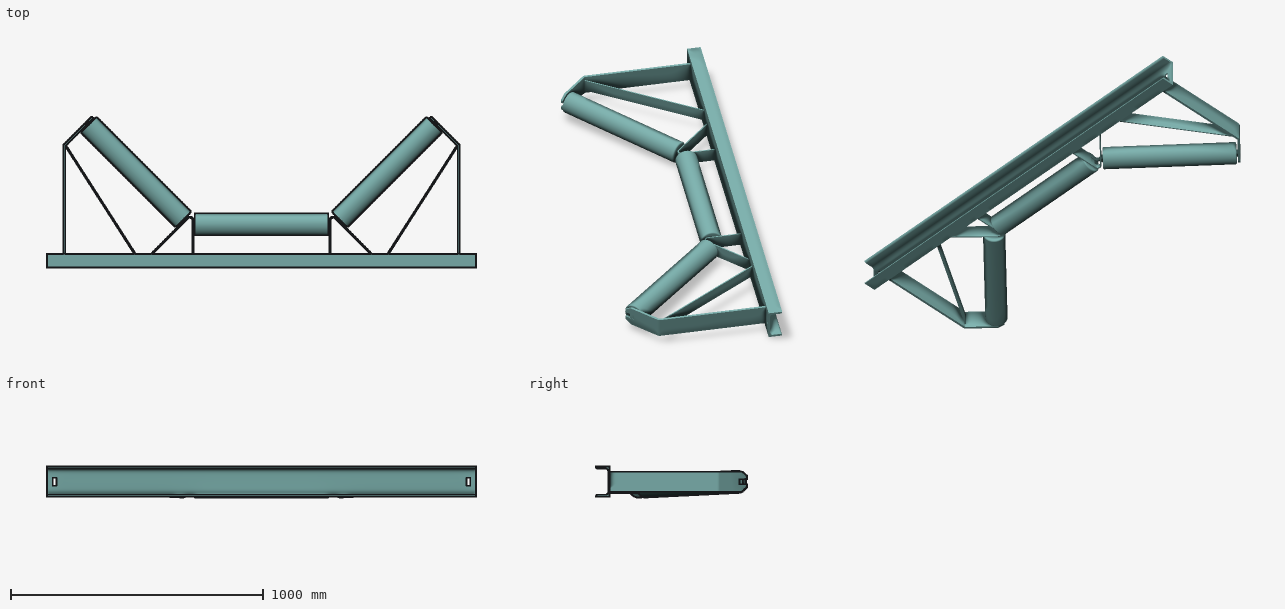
import cadquery as cq
import math

BEAM_LENGTH = 1700.0
BEAM_HEIGHT = 120.0
BEAM_DEPTH = 55.0
WEB_THICKNESS = 6.0
FLANGE_THICKNESS = 9.0
ROOT_RADIUS = 10.0
TIP_RADIUS = 7.6
MOUNT_SLOT_WIDTH = 14.0
MOUNT_SLOT_HEIGHT = 30.0
MOUNT_SLOT_FROM_END = 30.0

TROUGH_ANGLE = 45.0
ROLLER_DIAMETER = 88.0
ROLLER_LENGTH = 530.0
ROLLER_END_RADIUS = 5.0
SHAFT_SIZE = 20.0
SHAFT_RECESS = 2.0
CENTRE_AXIS_Y = 117.0
HANG_BELOW_BEAM = 3.0
SIDE_AXIS_ABOVE_BEND = 122.0

OUTER_BAR_HEIGHT = 80.0
OUTER_BAR_THICKNESS = 9.4
OUTER_FACE_X = 785.0
OUTER_BEND_RADIUS = 14.5
POST_LENGTH = 425.0
OUTER_TIP_Y = 544.0
TIP_CHAMFER_ALONG = 25.0
TIP_CHAMFER_ACROSS = 17.0

INNER_BAR_HEIGHT = 55.0
INNER_BAR_THICKNESS = 4.8
INNER_FACE_X = 269.0
INNER_TOP_Y = 148.0
INNER_BEND_RADIUS = 15.0

BRACE_THICKNESS = 4.8
BRACE_HEIGHT = 50.0
BRACE_FOOT_X = 498.0

ALONG = cq.Vector(math.cos(math.radians(TROUGH_ANGLE)), math.sin(math.radians(TROUGH_ANGLE)), 0)
UP_LEG = cq.Vector(-ALONG.y, ALONG.x, 0)
Z_AXIS = cq.Vector(0, 0, 1)

OUTER_BEND_CENTRE = cq.Vector(OUTER_FACE_X - OUTER_BEND_RADIUS, POST_LENGTH, 0)
OUTER_INSIDE_RADIUS = OUTER_BEND_RADIUS - OUTER_BAR_THICKNESS
OUTER_LEG_START = OUTER_BEND_CENTRE + ALONG * OUTER_BEND_RADIUS
OUTER_LEG_LENGTH = (OUTER_TIP_Y - OUTER_LEG_START.y) / UP_LEG.y
OUTER_LEG_TIP = OUTER_LEG_START + UP_LEG * OUTER_LEG_LENGTH

INNER_BEND_CENTRE = cq.Vector(INNER_FACE_X + INNER_BEND_RADIUS, INNER_TOP_Y - INNER_BEND_RADIUS, 0)
INNER_INSIDE_RADIUS = INNER_BEND_RADIUS - INNER_BAR_THICKNESS

CENTRE_AXIS_Z = ROLLER_DIAMETER / 2 - BEAM_HEIGHT / 2 - HANG_BELOW_BEAM
CENTRE_SHAFT_RIGHT = cq.Vector(INNER_FACE_X + INNER_BAR_THICKNESS, CENTRE_AXIS_Y, CENTRE_AXIS_Z)
CENTRE_SHAFT_LEFT = cq.Vector(-CENTRE_SHAFT_RIGHT.x, CENTRE_AXIS_Y, CENTRE_AXIS_Z)
SIDE_SHAFT_TOP = OUTER_LEG_START + UP_LEG * SIDE_AXIS_ABOVE_BEND
SIDE_SHAFT_SPAN = (SIDE_SHAFT_TOP - INNER_BEND_CENTRE).dot(ALONG) - INNER_INSIDE_RADIUS
SIDE_SHAFT_FOOT = SIDE_SHAFT_TOP - ALONG * SIDE_SHAFT_SPAN + Z_AXIS * CENTRE_AXIS_Z


def make_beam():
    beam = cq.Workplane("XY").box(BEAM_LENGTH, BEAM_DEPTH, BEAM_HEIGHT)
    channel_height = BEAM_HEIGHT - 2 * FLANGE_THICKNESS
    channel = cq.Workplane("XY").box(BEAM_LENGTH, BEAM_DEPTH, channel_height)
    channel = channel.edges("|X and >Y").fillet(ROOT_RADIUS)
    beam = beam.cut(channel.translate((0, -WEB_THICKNESS, 0)))
    for z in (-channel_height / 2, channel_height / 2):
        inner_tip_edge = cq.NearestToPointSelector((0, -BEAM_DEPTH / 2, z))
        beam = beam.edges(inner_tip_edge).fillet(TIP_RADIUS)
    slot_x = BEAM_LENGTH / 2 - MOUNT_SLOT_FROM_END
    mount_slots = (
        cq.Workplane("XZ")
        .pushPoints([(-slot_x, 0), (slot_x, 0)])
        .rect(MOUNT_SLOT_WIDTH, MOUNT_SLOT_HEIGHT)
        .extrude(BEAM_DEPTH, both=True)
    )
    return beam.cut(mount_slots).translate((0, -BEAM_DEPTH / 2, 0))


def axis_workplane(start, end, offset):
    """Workplane square to the axis from start to end, moved along it from the start."""
    axis = end - start
    return cq.Workplane(cq.Plane(start + axis.normalized() * offset, axis.cross(Z_AXIS), axis))


def make_shaft(start, end, extra):
    """Square bar from start to end, made longer by extra at both ends."""
    length = (end - start).Length + 2 * extra
    return axis_workplane(start, end, -extra).rect(SHAFT_SIZE, SHAFT_SIZE).extrude(length)


def make_roller(start, end, start_bar_thickness, end_bar_thickness):
    """Roller on a square shaft, its shell centred between the two bars that carry the shaft."""
    clear_span = (end - start).Length - start_bar_thickness - end_bar_thickness
    shell_offset = start_bar_thickness + (clear_span - ROLLER_LENGTH) / 2
    shell = axis_workplane(start, end, shell_offset).circle(ROLLER_DIAMETER / 2).extrude(ROLLER_LENGTH)
    shell = shell.faces("%PLANE").edges().fillet(ROLLER_END_RADIUS)
    return shell.union(make_shaft(start, end, -SHAFT_RECESS))


def bent_bar(bend_centre, outside_radius, inside_radius, post_side, outer_end, inner_end, height):
    """Flat bar on edge: a post up from Y = 0, a bend, then a leg on to the two end corners."""
    post_direction = cq.Vector(post_side, 0, 0)
    bend_middle = (post_direction + ALONG).normalized()
    post_foot = cq.Vector(bend_centre.x, 0, 0)

    def flat(point):
        return (point.x, point.y)

    def on_bend(direction, radius):
        return flat(bend_centre + direction * radius)

    outline = (
        cq.Workplane("XY")
        .moveTo(*flat(post_foot + post_direction * outside_radius))
        .lineTo(*on_bend(post_direction, outside_radius))
        .threePointArc(on_bend(bend_middle, outside_radius), on_bend(ALONG, outside_radius))
        .lineTo(*flat(outer_end))
        .lineTo(*flat(inner_end))
        .lineTo(*on_bend(ALONG, inside_radius))
        .threePointArc(on_bend(bend_middle, inside_radius), on_bend(post_direction, inside_radius))
        .lineTo(*flat(post_foot + post_direction * inside_radius))
        .close()
    )
    return outline.extrude(height / 2, both=True)


def make_outer_bracket(side_passage):
    inner_corner = OUTER_LEG_TIP - ALONG * OUTER_BAR_THICKNESS
    bar = bent_bar(
        OUTER_BEND_CENTRE, OUTER_BEND_RADIUS, OUTER_INSIDE_RADIUS, 1,
        OUTER_LEG_TIP, inner_corner, OUTER_BAR_HEIGHT,
    )
    leg_face = cq.Workplane(cq.Plane(OUTER_LEG_TIP, UP_LEG, ALONG))
    cut_depth = -OUTER_BAR_THICKNESS
    half_height = OUTER_BAR_HEIGHT / 2
    for side in (-1, 1):
        corner = leg_face.polyline([
            (0, side * half_height),
            (-TIP_CHAMFER_ALONG, side * half_height),
            (0, side * (half_height - TIP_CHAMFER_ACROSS)),
        ]).close()
        bar = bar.cut(corner.extrude(cut_depth))
    slot_depth = OUTER_LEG_LENGTH - SIDE_AXIS_ABOVE_BEND + SHAFT_SIZE / 2
    shaft_slot = leg_face.rect(2 * slot_depth, SHAFT_SIZE).extrude(cut_depth)
    return bar.cut(shaft_slot).cut(side_passage)


def make_inner_bracket(centre_passage, side_passage):
    def leg_foot(radius):
        bend_end = INNER_BEND_CENTRE + ALONG * radius
        return bend_end - UP_LEG * (bend_end.y / UP_LEG.y)

    bar = bent_bar(
        INNER_BEND_CENTRE, INNER_BEND_RADIUS, INNER_INSIDE_RADIUS, -1,
        leg_foot(INNER_BEND_RADIUS), leg_foot(INNER_INSIDE_RADIUS), INNER_BAR_HEIGHT,
    ).translate((0, 0, CENTRE_AXIS_Z))
    slot_floor = cq.Vector(INNER_BEND_CENTRE.x, CENTRE_AXIS_Y - SHAFT_SIZE / 2, CENTRE_AXIS_Z)
    shaft_slot = cq.Workplane("XY").box(
        2 * INNER_BEND_RADIUS, INNER_TOP_Y - slot_floor.y, SHAFT_SIZE, centered=(True, False, True)
    ).translate(slot_floor)
    return bar.cut(shaft_slot).cut(centre_passage).cut(side_passage)


def make_brace(outer_bracket):
    post_inner_x = OUTER_FACE_X - OUTER_BAR_THICKNESS
    slope = math.atan2(POST_LENGTH, post_inner_x - BRACE_FOOT_X)
    foot_width = BRACE_THICKNESS / math.sin(slope)
    top_width = BRACE_THICKNESS / math.cos(slope)
    outline = cq.Workplane("XY").polyline([
        (BRACE_FOOT_X, 0),
        (post_inner_x, POST_LENGTH + top_width),
        (post_inner_x, POST_LENGTH),
        (BRACE_FOOT_X + foot_width, 0),
    ]).close()
    return outline.extrude(BRACE_HEIGHT / 2, both=True).cut(outer_bracket)


beam = make_beam()
centre_roller = make_roller(
    CENTRE_SHAFT_LEFT, CENTRE_SHAFT_RIGHT, INNER_BAR_THICKNESS, INNER_BAR_THICKNESS
)
side_roller = make_roller(SIDE_SHAFT_FOOT, SIDE_SHAFT_TOP, INNER_BAR_THICKNESS, OUTER_BAR_THICKNESS)
centre_passage = make_shaft(CENTRE_SHAFT_LEFT, CENTRE_SHAFT_RIGHT, SHAFT_RECESS)
side_passage = make_shaft(SIDE_SHAFT_FOOT, SIDE_SHAFT_TOP, SHAFT_RECESS)
outer_bracket = make_outer_bracket(side_passage)
inner_bracket = make_inner_bracket(centre_passage, side_passage)
brace = make_brace(outer_bracket)

bodies = [beam.val(), centre_roller.val()]
for right_body in (side_roller, outer_bracket, inner_bracket, brace):
    left_body = right_body.mirror("YZ")
    bodies += [right_body.val(), left_body.val()]

result = cq.Compound.makeCompound(bodies)